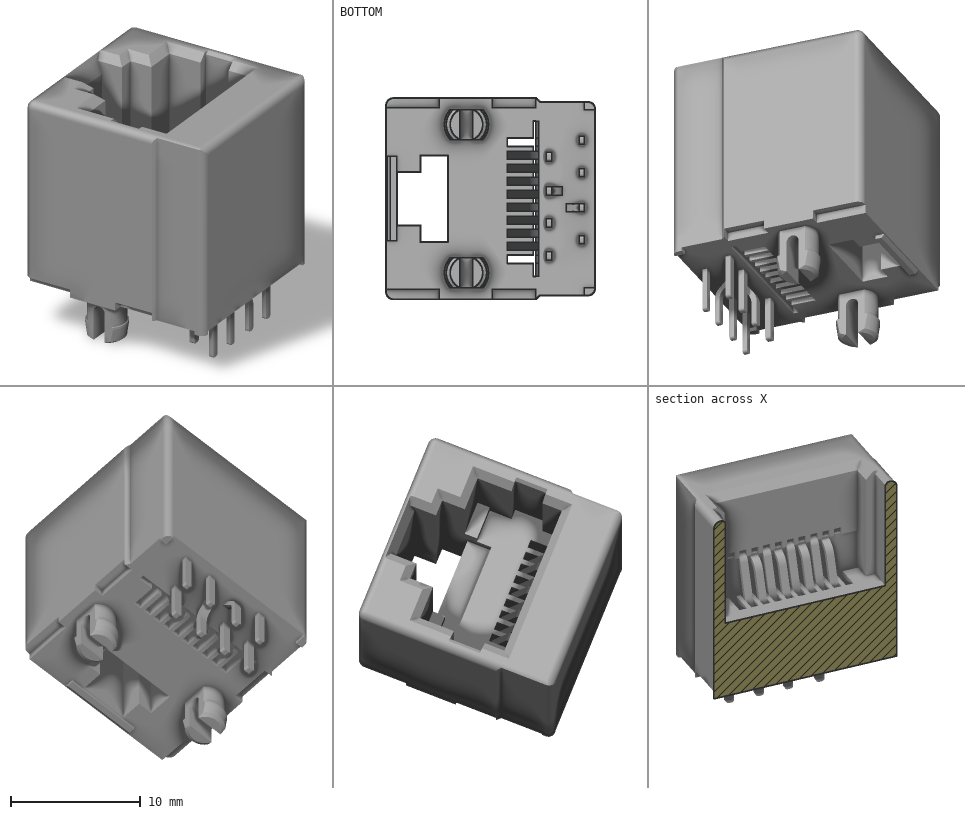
import cadquery as cq
import math


LENGTH = 16.1
WIDTH = 15.5
HEIGHT = 15.86
EDGE_RADIUS = 0.6
REAR_WIDTH = 14.9
REAR_EDGE_RADIUS = 0.55
REAR_STEP_X = 11.55

RELIEF_HEIGHT = 0.7
RELIEF_DEPTH = 0.77
RELIEF_SPANS = ((0.0, 4.1), (8.2, REAR_STEP_X))
STANDOFF = 0.3
FRONT_PAD_X = 0.12
FRONT_PAD_LENGTH = 0.7
FRONT_PAD_WIDTH = 6.5
FRONT_PAD_CHAMFER = 0.2
REAR_PAD_LENGTH = 0.85
REAR_PAD_WIDTH = 0.6

LEAD_IN = 0.62
FLOOR_Z = 6.6
PLUG_X = (4.55, 11.53)
PLUG_WIDTH = 11.94
LATCH_X = 2.67
LATCH_WIDTH = 6.64
TONGUE_X = 0.89
TONGUE_WIDTH = 4.1
TONGUE_SLOPE_RUN = 0.6
TONGUE_SLOPE_HEIGHT = 1.65
LATCH_HOLE_END_X = 4.77
LEDGE_END_X = 5.56
LATCH_SHELF_END_X = 6.75
SHELF_STEP = 1.0
GROOVE_X = (7.36, 9.92)
GROOVE_WIDTH = 13.5
GROOVE_LEAD_IN = 0.25

SLOT_COUNT = 10
SLOT_PITCH = 1.0
SLOT_WIDTH = 0.64
SLOT_OFFSET_Y = 0.16
SLOT_X = 9.34
SLIT_X = (11.34, 11.75)
SLIT_TOP_Z = 9.83
NOTCH_TOP_Z = 10.45
NOTCH_BACK_X = 12.0
CONTACT_THICKNESS = 0.35
CONTACT_TILT = 72.0
CONTACT_EMBED = 0.4
CONTACT_BEND_X = 11.95
TIGHT_BEND_RADIUS = 0.45
TIGHT_CONTACT_Z = 9.75
WIDE_BEND_RADIUS = 1.1
WIDE_CONTACT_Z = 9.45

PEG_X = 6.2
PEG_SPACING = 11.41
PEG_RADIUS = 1.56
PEG_WIDTH = 2.31
PEG_LENGTH = 3.6
PEG_SLOT_WIDTH = 1.0
PEG_SLOT_TOP = 0.6
BARB_RADIUS = 1.7
BARB_TOP = 2.1
BARB_RIM_END = 2.3
BARB_END_RADIUS = 1.55
BARB_END = 3.38
PEG_TIP_RADIUS = 1.25

PIN_LENGTH = 3.5
PIN_TIP_RADIUS = 0.2
PIN_EMBED = 0.5
FRONT_ROW_X = 12.55
FRONT_PIN_SIZE = (0.44, 0.67)
REAR_ROW_X = 15.08
REAR_PIN_SIZE = (0.38, 0.6)
FRONT_ROW_Y = (4.4, 1.88, -3.23)
REAR_ROW_Y = (3.17, -2.0, -4.5)
PIN_BEND_ANGLE = 45.0
BENT_FRONT_PIN_Y = -0.59
FRONT_JOG_START = 1.66
FRONT_JOG_RADIUS = 1.5
BENT_REAR_PIN_Y = 0.7
REAR_TURN_START = 1.3
REAR_TURN_RADIUS = 0.9


def block(x_span, width, z_span, y_middle=0.0):
    """Box between two X and two Z positions, centred on y_middle."""
    x0, x1 = x_span
    z0, z1 = z_span
    return (
        cq.Workplane("XY", origin=((x0 + x1) / 2, y_middle, z0))
        .rect(x1 - x0, width)
        .extrude(z1 - z0)
    )


def opening(x_span, width, floor_z, lead_in):
    """Straight pocket cutter whose top flares outwards at 45 degrees."""
    x0, x1 = x_span
    straight = block(x_span, width, (floor_z, HEIGHT - lead_in))
    flare = (
        cq.Workplane("XY", origin=((x0 + x1) / 2, 0, HEIGHT - lead_in))
        .rect(x1 - x0, width)
        .workplane(offset=lead_in)
        .rect(x1 - x0 + 2 * lead_in, width + 2 * lead_in)
        .loft(ruled=True)
    )
    return straight.union(flare)


def plan_outline(z_bottom, z_top):
    """Plan shape of the housing: wide in front, stepped narrower at the rear."""
    half = WIDTH / 2
    rear_half = REAR_WIDTH / 2
    step_end_x = REAR_STEP_X + half - rear_half
    return (
        cq.Workplane("XY", origin=(0, 0, z_bottom))
        .moveTo(0, -half)
        .lineTo(REAR_STEP_X, -half)
        .lineTo(step_end_x, -rear_half)
        .lineTo(LENGTH, -rear_half)
        .lineTo(LENGTH, rear_half)
        .lineTo(step_end_x, rear_half)
        .lineTo(REAR_STEP_X, half)
        .lineTo(0, half)
        .close()
        .extrude(z_top - z_bottom)
        .edges("|Z and >X")
        .fillet(REAR_EDGE_RADIUS)
    )


def housing():
    rounded = (
        block((0, LENGTH), WIDTH, (0, HEIGHT))
        .edges("(|Z and <X) or >Z")
        .fillet(EDGE_RADIUS)
    )
    shell = rounded.intersect(plan_outline(0, HEIGHT))
    for x0, x1 in RELIEF_SPANS:
        for side in (-1, 1):
            y_middle = side * (WIDTH - RELIEF_DEPTH) / 2
            shell = shell.cut(block((x0, x1), RELIEF_DEPTH, (0, RELIEF_HEIGHT), y_middle))
    return shell


def standoffs():
    front = (
        block((FRONT_PAD_X, FRONT_PAD_X + FRONT_PAD_LENGTH), FRONT_PAD_WIDTH, (-STANDOFF, 0))
        .edges("<X and <Z")
        .chamfer(FRONT_PAD_CHAMFER)
    )
    rear = plan_outline(-STANDOFF, 0).intersect(
        block((LENGTH - REAR_PAD_LENGTH, LENGTH), REAR_WIDTH, (-STANDOFF, 0))
    )
    gap = block((0, LENGTH), REAR_WIDTH - 2 * REAR_PAD_WIDTH, (-STANDOFF, 0))
    return front.union(rear.cut(gap))


def tongue_opening():
    """Narrow end of the latch recess, its front wall leaning outwards near the top."""
    end_x = LATCH_X + LEAD_IN
    side_shape = (
        cq.Workplane("XZ", origin=(0, WIDTH / 2, 0))
        .moveTo(TONGUE_X, FLOOR_Z)
        .lineTo(TONGUE_X, HEIGHT - TONGUE_SLOPE_HEIGHT)
        .lineTo(TONGUE_X - TONGUE_SLOPE_RUN, HEIGHT)
        .lineTo(end_x, HEIGHT)
        .lineTo(end_x, FLOOR_Z)
        .close()
        .extrude(WIDTH)
    )
    return opening((0, end_x), TONGUE_WIDTH, FLOOR_Z, LEAD_IN).intersect(side_shape)


def plug_opening():
    overlap_x = PLUG_X[0] + LEAD_IN
    ledge = block((PLUG_X[0], LEDGE_END_X), PLUG_WIDTH, (FLOOR_Z, FLOOR_Z + SHELF_STEP))
    plug = opening(PLUG_X, PLUG_WIDTH, FLOOR_Z, LEAD_IN).cut(ledge)
    latch = opening((LATCH_X, overlap_x), LATCH_WIDTH, FLOOR_Z, LEAD_IN)
    grooves = opening(GROOVE_X, GROOVE_WIDTH, FLOOR_Z, GROOVE_LEAD_IN).intersect(
        block(GROOVE_X, WIDTH, (FLOOR_Z, HEIGHT))
    )
    shelf = block(
        (LATCH_X, LATCH_SHELF_END_X), LATCH_WIDTH, (FLOOR_Z - SHELF_STEP, FLOOR_Z + SHELF_STEP)
    )
    latch_hole = block((LATCH_X, LATCH_HOLE_END_X), LATCH_WIDTH, (0, FLOOR_Z))
    tongue_hole = block((TONGUE_X, LATCH_X), TONGUE_WIDTH, (0, FLOOR_Z))
    cutter = plug
    for piece in (latch, tongue_opening(), grooves, shelf, latch_hole, tongue_hole):
        cutter = cutter.union(piece)
    return cutter


def slot_y(index):
    return SLOT_OFFSET_Y + ((SLOT_COUNT - 1) / 2 - index) * SLOT_PITCH


def contact_comb():
    """Slots through the floor, joined by a slit below the rear wall of the opening."""
    cutter = block(SLIT_X, PLUG_WIDTH, (0, SLIT_TOP_Z))
    for index in range(SLOT_COUNT):
        y = slot_y(index)
        cutter = cutter.union(block((SLOT_X, SLIT_X[1]), SLOT_WIDTH, (0, FLOOR_Z), y))
        cutter = cutter.union(block((SLIT_X[0], NOTCH_BACK_X), SLOT_WIDTH, (SLIT_TOP_Z, NOTCH_TOP_Z), y))
    return cutter


def arc_travel(radius, angle):
    """Sideways and forward travel of an arc that turns by angle degrees."""
    turn = math.radians(angle)
    return radius * (1 - math.cos(turn)), radius * math.sin(turn)


def contact(y, bend_radius, z):
    """Spring strip that leaves the rear wall, bends down and ends in the front of its slot."""
    middle_drop, middle_run = arc_travel(bend_radius, CONTACT_TILT / 2)
    end_drop, end_run = arc_travel(bend_radius, CONTACT_TILT)
    start_x = NOTCH_BACK_X + CONTACT_EMBED
    bend_end_x = CONTACT_BEND_X - end_run
    tip_x = SLOT_X - CONTACT_THICKNESS / 2
    tip_z = z - end_drop - (bend_end_x - tip_x) * math.tan(math.radians(CONTACT_TILT))
    path = (
        cq.Workplane("XZ", origin=(0, y, 0))
        .moveTo(start_x, z)
        .lineTo(CONTACT_BEND_X, z)
        .threePointArc((CONTACT_BEND_X - middle_run, z - middle_drop), (bend_end_x, z - end_drop))
        .lineTo(tip_x, tip_z)
    )
    return (
        cq.Workplane("YZ", origin=(start_x, y, z))
        .rect(SLOT_WIDTH, CONTACT_THICKNESS)
        .sweep(path)
    )


def contacts():
    """The two outermost slots stay empty; tight and wide bends alternate in the others."""
    strips = cq.Workplane("XY")
    for index in range(1, SLOT_COUNT - 1):
        if index % 2:
            strip = contact(slot_y(index), TIGHT_BEND_RADIUS, TIGHT_CONTACT_Z)
        else:
            strip = contact(slot_y(index), WIDE_BEND_RADIUS, WIDE_CONTACT_Z)
        strips = strips.union(strip)
    return strips


def peg(y):
    """Split snap-in peg: turned profile with a barb, flattened on both Y sides."""
    turned = (
        cq.Workplane("XZ")
        .moveTo(0, 0)
        .lineTo(PEG_RADIUS, 0)
        .lineTo(PEG_RADIUS, -BARB_TOP)
        .lineTo(BARB_RADIUS, -BARB_TOP)
        .lineTo(BARB_RADIUS, -BARB_RIM_END)
        .lineTo(BARB_END_RADIUS, -BARB_END)
        .lineTo(PEG_TIP_RADIUS, -PEG_LENGTH)
        .lineTo(0, -PEG_LENGTH)
        .close()
        .revolve(360, (0, 0, 0), (0, 1, 0))
    )
    flattened = turned.intersect(block((-BARB_RADIUS, BARB_RADIUS), PEG_WIDTH, (-PEG_LENGTH, 0)))
    half_slot = PEG_SLOT_WIDTH / 2
    slot = (
        cq.Workplane("XZ", origin=(0, PEG_WIDTH, 0))
        .moveTo(-half_slot, -PEG_LENGTH)
        .lineTo(-half_slot, -PEG_SLOT_TOP - half_slot)
        .threePointArc((0, -PEG_SLOT_TOP), (half_slot, -PEG_SLOT_TOP - half_slot))
        .lineTo(half_slot, -PEG_LENGTH)
        .close()
        .extrude(2 * PEG_WIDTH)
    )
    return flattened.cut(slot).translate((PEG_X, y, 0))


def pin(x, y, size, top_z):
    """Flat pin with a tip rounded across its width."""
    thickness, width = size
    return (
        block((x - thickness / 2, x + thickness / 2), width, (-PIN_LENGTH, top_z), y)
        .edges("|X and <Z")
        .fillet(PIN_TIP_RADIUS)
    )


def bent_front_pin():
    """Front-row pin that jogs towards +X in an S-bend where it enters the housing."""
    x = FRONT_ROW_X
    y = BENT_FRONT_PIN_Y
    start_z = -FRONT_JOG_START
    half_shift, half_rise = arc_travel(FRONT_JOG_RADIUS, PIN_BEND_ANGLE / 2)
    shift, rise = arc_travel(FRONT_JOG_RADIUS, PIN_BEND_ANGLE)
    end_x = x + 2 * shift
    end_z = start_z + 2 * rise
    path = (
        cq.Workplane("XZ", origin=(0, y, 0))
        .moveTo(x, start_z)
        .threePointArc((x + half_shift, start_z + half_rise), (x + shift, start_z + rise))
        .threePointArc((end_x - half_shift, end_z - half_rise), (end_x, end_z))
    )
    jog = cq.Workplane("XY", origin=(x, y, start_z)).rect(*FRONT_PIN_SIZE).sweep(path)
    return pin(x, y, FRONT_PIN_SIZE, start_z).union(jog)


def bent_rear_pin():
    """Rear-row pin that turns towards -X and runs obliquely into the housing."""
    x = REAR_ROW_X
    y = BENT_REAR_PIN_Y
    start_z = -REAR_TURN_START
    half_shift, half_rise = arc_travel(REAR_TURN_RADIUS, PIN_BEND_ANGLE / 2)
    shift, rise = arc_travel(REAR_TURN_RADIUS, PIN_BEND_ANGLE)
    run = (PIN_EMBED - start_z - rise) * math.tan(math.radians(PIN_BEND_ANGLE))
    path = (
        cq.Workplane("XZ", origin=(0, y, 0))
        .moveTo(x, start_z)
        .threePointArc((x - half_shift, start_z + half_rise), (x - shift, start_z + rise))
        .lineTo(x - shift - run, PIN_EMBED)
    )
    turned = cq.Workplane("XY", origin=(x, y, start_z)).rect(*REAR_PIN_SIZE).sweep(path)
    return pin(x, y, REAR_PIN_SIZE, start_z).union(turned)


def pins():
    group = bent_front_pin().union(bent_rear_pin())
    for y in FRONT_ROW_Y:
        group = group.union(pin(FRONT_ROW_X, y, FRONT_PIN_SIZE, PIN_EMBED))
    for y in REAR_ROW_Y:
        group = group.union(pin(REAR_ROW_X, y, REAR_PIN_SIZE, PIN_EMBED))
    return group


result = housing().cut(plug_opening()).cut(contact_comb())
result = result.union(standoffs()).union(contacts()).union(pins())
for side in (-1, 1):
    result = result.union(peg(side * PEG_SPACING / 2))